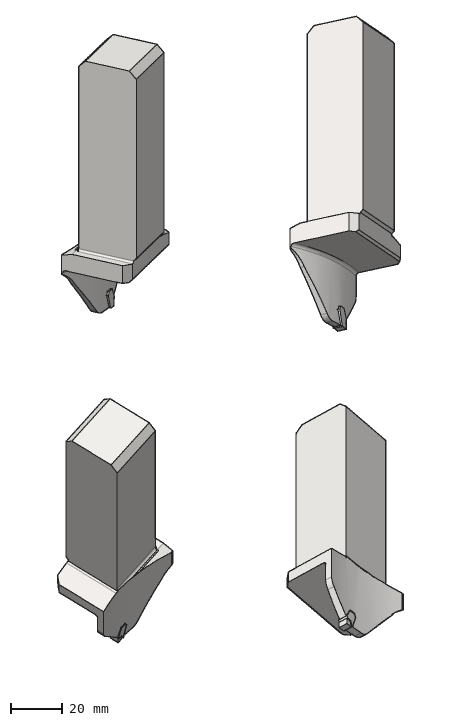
import cadquery as cq
import math

top_z = 119.6
shank_width = 25.0
half_shank = shank_width / 2
end_chamfer = 3.0
shank_relief_z = 37.3
neck_z = 36.2

head_right = 11.4
head_left = -18.0
head_front = -16.5
head_back = 22.2
head_top = 35.4
head_bottom = 27.5
corner_chamfer = 2.9
bottom_chamfer = 1.0
left_slope_start = -13.4
left_slope_end_z = 34.0
back_slope_start = 13.6
back_slope_end_z = 33.0
front_cove_radius = 0.8
left_cove_radius = 1.5
cove_middle = 1 - math.sqrt(0.5)

outer_radius = 92.1
outer_crest_x = -12.8
outer_crest_y = 15.0
inner_radius = 62.2
inner_crest_x = -9.6
inner_crest_y = 13.8
tip_flat_y = head_front + 1.0
blade_tip_z = 0.7
blade_front_z = 25.6
front_bend_middle = (-13.6, 23.1)
front_bend_end = (-11.0, 19.3)
nose_start = (0.6, 2.9)
nose_middle = (2.2, 1.3)
nose_end = (4.3, blade_tip_z)
back_bend_start = (20.6, 13.9)
back_bend_middle = (21.8, 15.7)
back_bend_end = (head_back, 17.7)
root_fillet = 1.2

overshoot = 1.2
search_margin = 0.1

insert_left = -13.3
insert_right = -9.1
cutting_recess = 0.4
insert_top_back = (10.6, 8.4)
insert_top_front = (8.0, 8.4)
insert_front = (7.3, 6.8)
insert_foot = (9.2, 0.6)
insert_corner = (12.8, 3.8)
insert_shoulder = (12.4, 2.9)
insert_inner_shoulder = (10.4, 2.8)
insert_heel = (9.7, 0.2)
insert_tip = (12.4, 0.0)


def arc_x(radius, crest_x, crest_y, y):
    """X on an arc whose crest faces +X, at the given Y."""
    return crest_x - radius + math.sqrt(radius ** 2 - (y - crest_y) ** 2)


def outer_point(y):
    return (arc_x(outer_radius, outer_crest_x, outer_crest_y, y), y)


def inner_point(y):
    return (arc_x(inner_radius, inner_crest_x, inner_crest_y, y), y)


def start_plan(z):
    """Plan outline started along the front flat and the concave outer face."""
    flat_x = outer_point(tip_flat_y)[0]
    return (
        cq.Workplane("XY", origin=(0, 0, z))
        .moveTo(flat_x, head_front)
        .lineTo(flat_x, tip_flat_y)
        .threePointArc(outer_point((tip_flat_y + head_back) / 2), outer_point(head_back))
    )


def yz_prism(points, left, right):
    """Y-Z polygon extruded between two X positions."""
    outline = cq.Workplane("YZ", origin=(left, 0, 0)).polyline(points).close()
    return outline.extrude(right - left)


def make_shank():
    profile = [
        (-half_shank, head_bottom + bottom_chamfer),
        (head_right, head_bottom + bottom_chamfer),
        (head_right, neck_z),
        (half_shank, shank_relief_z),
        (half_shank, top_z - end_chamfer),
        (half_shank - end_chamfer, top_z),
        (-half_shank + end_chamfer, top_z),
        (-half_shank, top_z - end_chamfer),
    ]
    outline = cq.Workplane("XZ", origin=(0, half_shank, 0)).polyline(profile).close()
    return outline.extrude(shank_width)


def make_head():
    plan = (
        start_plan(head_bottom)
        .lineTo(head_right - corner_chamfer, head_back)
        .lineTo(head_right, head_back - corner_chamfer)
        .lineTo(head_right, head_front + corner_chamfer)
        .lineTo(head_right - corner_chamfer, head_front)
        .close()
        .extrude(head_top - head_bottom)
    )
    front_profile = [
        (head_left - overshoot, head_bottom),
        (head_right - bottom_chamfer, head_bottom),
        (head_right, head_bottom + bottom_chamfer),
        (head_right, head_top),
        (left_slope_start, head_top),
        (head_left, left_slope_end_z),
        (head_left - overshoot, left_slope_end_z),
    ]
    front_prism = (
        cq.Workplane("XZ", origin=(0, head_back, 0))
        .polyline(front_profile)
        .close()
        .extrude(head_back - head_front)
    )
    side_profile = [
        (head_front, head_bottom),
        (head_back, head_bottom),
        (head_back, back_slope_end_z),
        (back_slope_start, head_top),
        (head_front, head_top),
    ]
    return plan.intersect(front_prism).intersect(yz_prism(side_profile, head_left - overshoot, head_right))


def make_blade():
    plan = (
        start_plan(0)
        .lineTo(*inner_point(head_back))
        .threePointArc(inner_point((head_front + head_back) / 2), inner_point(head_front))
        .close()
        .extrude(head_bottom + bottom_chamfer)
    )
    side = (
        cq.Workplane("YZ", origin=(head_left - overshoot, 0, 0))
        .moveTo(head_front, head_bottom + bottom_chamfer)
        .lineTo(head_front, blade_front_z)
        .threePointArc(front_bend_middle, front_bend_end)
        .lineTo(*nose_start)
        .threePointArc(nose_middle, nose_end)
        .lineTo(insert_heel[0], blade_tip_z)
        .lineTo(*insert_corner)
        .lineTo(*back_bend_start)
        .threePointArc(back_bend_middle, back_bend_end)
        .lineTo(head_back, head_bottom + bottom_chamfer)
        .close()
        .extrude(head_right - head_left)
    )
    return plan.intersect(side)


def make_cove(corner, outward, along, radius, length):
    """Concave strip along one shank face, clear of the outer face of the blade."""
    strip_plane = cq.Plane(origin=(*corner, head_top), xDir=outward, normal=along)
    rise = strip_plane.yDir.z * radius
    strip = (
        cq.Workplane(strip_plane)
        .lineTo(radius, 0)
        .threePointArc((radius * cove_middle, rise * cove_middle), (0, rise))
        .close()
        .extrude(length)
    )
    clearance = (
        cq.Workplane("XY", origin=(outer_crest_x - outer_radius, outer_crest_y, head_bottom))
        .circle(outer_radius)
        .extrude(top_z - head_bottom)
    )
    return strip.cut(clearance)


def make_holder():
    holder = make_shank().union(make_head()).union(make_blade())
    root = cq.selectors.BoxSelector(
        (head_left + root_fillet / 2, head_front - overshoot, head_bottom - search_margin),
        (inner_crest_x + search_margin, head_back + overshoot, head_bottom + search_margin),
    )
    holder = holder.edges(root).edges("%CIRCLE").fillet(root_fillet)
    corner = (-half_shank, -half_shank)
    front_cove = make_cove(corner, (0, -1, 0), (1, 0, 0), front_cove_radius, head_right + half_shank)
    left_cove = make_cove(corner, (-1, 0, 0), (0, 1, 0), left_cove_radius, shank_width)
    return holder.union(front_cove).union(left_cove)


def make_insert_shapes():
    """Full insert plate and the shallow recess in its cutting end."""
    outline = [
        insert_top_back,
        insert_top_front,
        insert_front,
        insert_foot,
        insert_heel,
        insert_tip,
        insert_shoulder,
        insert_corner,
    ]
    cutting_end = [insert_heel, insert_tip, insert_shoulder, insert_inner_shoulder]
    recess = yz_prism(cutting_end, insert_left, insert_left + cutting_recess)
    return yz_prism(outline, insert_left, insert_right), recess


holder = make_holder()
blank, recess = make_insert_shapes()
insert = blank.cut(recess)
holder = holder.cut(blank)

result = cq.Compound.makeCompound([holder.val(), insert.val()])